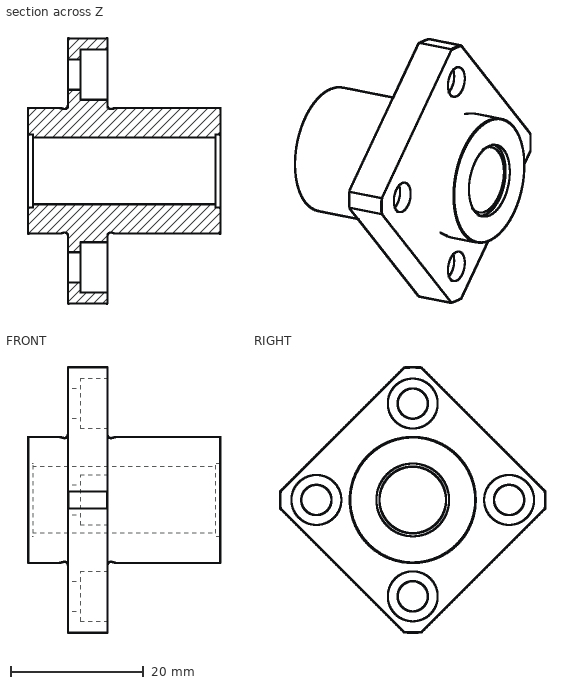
import cadquery as cq
import math

length = 29.0
sleeve_radius = 19.0 / 2
end_chamfer = 0.1

flange_start = 6.0
flange_thickness = 6.0
flange_end = flange_start + flange_thickness
flange_side = 30.0
flange_corner_diameter = 40.0
flange_corner_chamfer = 0.1

bore_diameter = 10.0
recess_diameter = 10.95
recess_depth = 0.75

hole_count = 4
hole_circle_diameter = 29.0
hole_diameter = 4.5
counterbore_diameter = 7.5
counterbore_depth = 4.08

relief_length = 1.2
relief_arc_radius = 0.48
relief_angle = math.radians(15)


def cylinder(start, height, diameter):
    """Solid cylinder on the X axis, starting at x = start."""
    return cq.Workplane("YZ", origin=(start, 0, 0)).circle(diameter / 2).extrude(height)


def sleeve_side(outer_end, face, direction):
    """Sleeve on one side of the flange; direction points from the face to the outer end."""
    arc_width = relief_arc_radius * (1 + math.sin(relief_angle))
    taper_drop = (relief_length - arc_width) * math.tan(relief_angle)
    arc_start_radius = sleeve_radius - taper_drop
    arc_end_radius = arc_start_radius + relief_arc_radius * math.cos(relief_angle)

    mid_angle = (math.pi / 2 + relief_angle) / 2
    arc_mid = (
        face + direction * relief_arc_radius * (1 - math.cos(mid_angle)),
        arc_end_radius - relief_arc_radius * math.sin(mid_angle),
    )
    profile = (
        cq.Workplane("XY")
        .moveTo(face, 0)
        .lineTo(face, arc_end_radius)
        .threePointArc(arc_mid, (face + direction * arc_width, arc_start_radius))
        .lineTo(face + direction * relief_length, sleeve_radius)
        .lineTo(outer_end - direction * end_chamfer, sleeve_radius)
        .lineTo(outer_end, sleeve_radius - end_chamfer)
        .lineTo(outer_end, 0)
        .close()
    )
    return profile.revolve(360, (0, 0, 0), (1, 0, 0))


def make_flange():
    """Square plate turned 45 degrees and trimmed to a chamfered round at its corners."""
    plate = (
        cq.Workplane("YZ", origin=(flange_start, 0, 0))
        .transformed(rotate=(0, 0, 45))
        .rect(flange_side, flange_side)
        .extrude(flange_thickness)
    )
    corner_round = cylinder(flange_start, flange_thickness, flange_corner_diameter)
    return plate.intersect(corner_round.edges().chamfer(flange_corner_chamfer))


def cut_screw_holes(body):
    """Cut a counterbored hole near each corner of the flange."""
    return (
        body.copyWorkplane(cq.Workplane("YZ", origin=(flange_end, 0, 0)))
        .polarArray(hole_circle_diameter / 2, 0, 360, hole_count)
        .cboreHole(hole_diameter, counterbore_diameter, counterbore_depth, flange_thickness)
    )


def cut_bore(body):
    """Cut the through bore and the recess at both ends."""
    return (
        body.cut(cylinder(0, length, bore_diameter))
        .cut(cylinder(0, recess_depth, recess_diameter))
        .cut(cylinder(length - recess_depth, recess_depth, recess_diameter))
    )


flange = cut_screw_holes(make_flange())
front_sleeve = sleeve_side(0, flange_start, -1)
rear_sleeve = sleeve_side(length, flange_end, 1)
result = cut_bore(flange.union(front_sleeve).union(rear_sleeve))